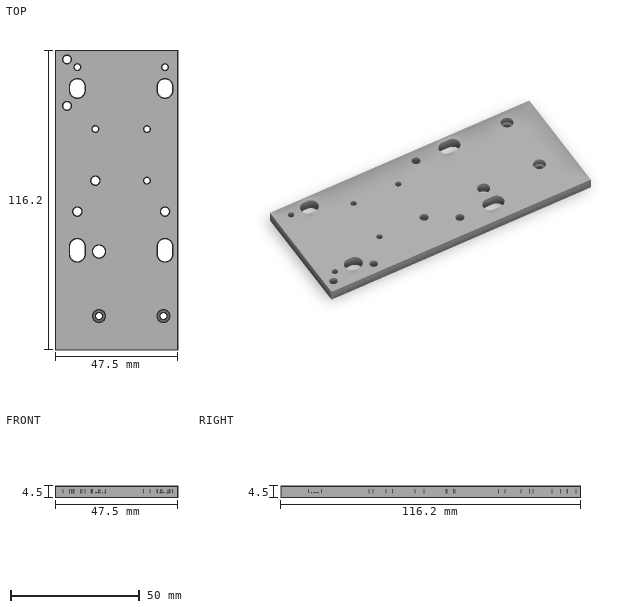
import cadquery as cq

plate_width = 47.5
plate_length = 116.25
plate_thickness = 4.5

small_diameter = 2.5
corner_diameter = 3.3
clearance_diameter = 3.5
large_diameter = 5.0
screw_diameter = 2.7
counterbore_diameter = 5.0
counterbore_depth = 2.5

left_column_x = 8.5
column_spacing = 34.0
column_xs = (left_column_x, left_column_x + column_spacing)
column_small_y = 109.75
column_clearance_y = 53.75

slot_width = 6.0
upper_slot_length = 7.5
upper_slot_y = 101.5
lower_slot_length = 9.0
lower_slot_y = 38.75

corner_x = 4.5
corner_upper_y = 112.75
corner_spacing = 18.0

square_x = 15.5
square_y = 65.75
square_pitch = 20.0

screw_x = 16.9
screw_spacing = 25.0
screw_y = 13.25
large_hole_offset = 25.0


def make_plate():
    return cq.Workplane("XY").box(plate_width, plate_length, plate_thickness, centered=False)


def drill(body, points, diameter):
    """Drill a through hole at each point."""
    return body.cut(cq.Workplane("XY").pushPoints(points).circle(diameter / 2).extrude(plate_thickness))


def cut_slots(body, y, length):
    """Cut one through slot on each column, centred at the given Y."""
    centres = [(x, y) for x in column_xs]
    slots = cq.Workplane("XY").pushPoints(centres).slot2D(length, slot_width, angle=90)
    return body.cut(slots.extrude(plate_thickness))


def counterbore(body, points):
    """Drill through holes widened from the top face."""
    body = drill(body, points, screw_diameter)
    floor = cq.Workplane("XY").workplane(offset=plate_thickness - counterbore_depth)
    return body.cut(floor.pushPoints(points).circle(counterbore_diameter / 2).extrude(counterbore_depth))


result = make_plate()

result = drill(result, [(x, column_small_y) for x in column_xs], small_diameter)
result = drill(result, [(x, column_clearance_y) for x in column_xs], clearance_diameter)
result = cut_slots(result, upper_slot_y, upper_slot_length)
result = cut_slots(result, lower_slot_y, lower_slot_length)

corner_lower_y = corner_upper_y - corner_spacing
result = drill(result, [(corner_x, corner_upper_y), (corner_x, corner_lower_y)], corner_diameter)

square_small_points = [
    (square_x + square_pitch, square_y),
    (square_x, square_y + square_pitch),
    (square_x + square_pitch, square_y + square_pitch),
]
result = drill(result, square_small_points, small_diameter)
result = drill(result, [(square_x, square_y)], clearance_diameter)

result = counterbore(result, [(screw_x, screw_y), (screw_x + screw_spacing, screw_y)])
result = drill(result, [(screw_x, screw_y + large_hole_offset)], large_diameter)